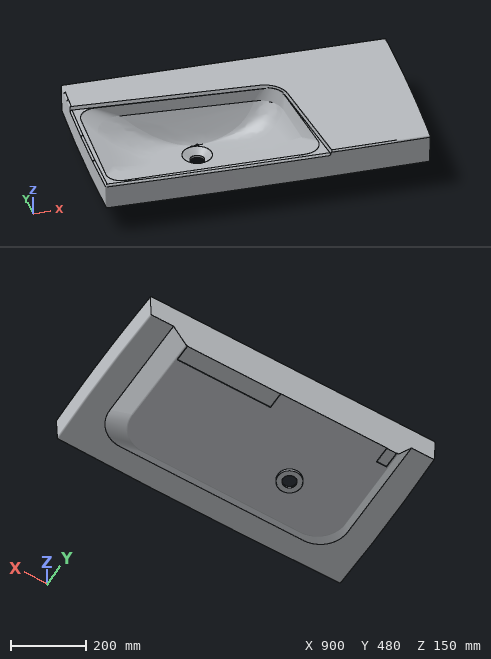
import cadquery as cq
import math

width = 900.0
depth = 480.0
height = 150.0

overrun = 90.0
overrun_radius = 9.0

slab_height = 85.5
side_bow = 4.5
draft_angle = 1.5
edge_radius = 4.5

rim_z = -9.0
rim_edge_radius = 5.0
step_slope = 25.0
step_left_y = -103.5
step_corner = (569.0, -134.0)
step_front_x = 624.5
step_radius = 67.5

basin_rim_z = rim_z + 3.0
basin_rim_corners = [(14.0, -111.0), (14.0, -467.0), (612.0, -467.0), (566.0, -139.0)]
basin_rim_radii = [45.0, 36.0, 45.0, 54.0]
basin_wall_z = -41.0
basin_wall_corners = [(58.5, -116.0), (58.5, -428.0), (587.0, -428.0), (556.0, -144.0)]
basin_wall_radii = [72.0, 81.0, 81.0, 67.5]
basin_floor_z = -99.0
basin_floor_corners = [(148.5, -148.0), (148.5, -360.0), (508.0, -360.0), (495.0, -175.0)]
basin_floor_radii = [63.0, 81.0, 81.0, 63.0]

drain_x = 319.5
drain_y = -226.0
drain_z = -128.0
drain_seat_radius = 40.5
drain_cone_radius = 37.0
drain_hole_radius = 20.0
drain_hole_length = 7.0
drain_seat_depth = 3.0
drain_boss_radius = 36.0
basin_end_half_side = 43.0
basin_end_radius = 36.0

bowl_front_z = -140.0
bowl_back_z = -144.0
bowl_top_sides = (76.0, 826.0, -409.5)
bowl_bottom_sides = (119.0, 783.0, -353.0)
bowl_top_radius = 85.5
bowl_bottom_radius = 88.0
bowl_edge_radius = 4.5

foot_z = -146.0
foot_depth = 51.0
foot_height = 9.0
foot_spans = [(125.0, 156.0), (488.0, 779.0)]


def rounded_polygon(corners, radii, z):
    """Closed wire through the corners, each rounded by a tangent arc."""
    rounded = []
    for i, (x, y) in enumerate(corners):
        corner = cq.Vector(x, y, z)
        before = cq.Vector(*corners[i - 1], z)
        after = cq.Vector(*corners[(i + 1) % len(corners)], z)
        to_before = (before - corner).normalized()
        to_after = (after - corner).normalized()
        half_angle = to_before.getAngle(to_after) / 2
        tangent_length = radii[i] / math.tan(half_angle)
        middle_gap = radii[i] / math.sin(half_angle) - radii[i]
        bisector = (to_before + to_after).normalized()
        start = corner + to_before * tangent_length
        middle = corner + bisector * middle_gap
        end = corner + to_after * tangent_length
        rounded.append((start, middle, end))
    edges = []
    for i, (start, middle, end) in enumerate(rounded):
        edges.append(cq.Edge.makeThreePointArc(start, middle, end))
        edges.append(cq.Edge.makeLine(end, rounded[(i + 1) % len(rounded)][0]))
    return cq.Wire.assembleEdges(edges)


def draft_shortfall(edge_z, radius):
    """How far a drafted side with a rounded top edge at edge_z stays inside its outline at Z = 0."""
    lean = math.radians(draft_angle)
    return (radius - edge_z) * math.tan(lean) - radius * (1 - 1 / math.cos(lean))


def make_slab():
    """Plate with bowed, drafted sides and a flat, vertical back."""
    rim_shortfall = draft_shortfall(rim_z, rim_edge_radius)
    mid_left = -rim_shortfall
    mid_right = width + draft_shortfall(0, edge_radius)
    mid_front = -depth - rim_shortfall
    left = mid_left + side_bow
    right = mid_right - side_bow
    front = mid_front + side_bow
    blank = (
        cq.Workplane("XY")
        .moveTo(left, overrun)
        .lineTo(left, 0)
        .threePointArc((mid_left, -depth / 2), (left, front))
        .threePointArc((width / 2, mid_front), (right, front))
        .threePointArc((mid_right, -depth / 2), (right, 0))
        .lineTo(right, overrun)
        .close()
        .extrude(-slab_height, taper=draft_angle)
    )
    behind_wall = cq.Workplane("XY").box(2 * width, 2 * overrun, 2 * height, centered=(True, False, True))
    behind_wall = behind_wall.translate((width / 2, 0, 0))
    slab = blank.cut(behind_wall)
    back_edges = slab.faces(">Y").edges().vals()
    rounded = [e for e in slab.edges().vals() if not any(e.isSame(b) for b in back_edges)]
    return slab.newObject(rounded).fillet(edge_radius)


def make_bowl():
    """Flared body under the slab with a sloping underside."""
    def outline(sides, radius, z):
        left, right, front = sides
        corners = [(left, overrun), (left, front), (right, front), (right, overrun)]
        return rounded_polygon(corners, [overrun_radius, radius, radius, overrun_radius], z)

    top = outline(bowl_top_sides, bowl_top_radius, -slab_height + edge_radius)
    bottom = outline(bowl_bottom_sides, bowl_bottom_radius, bowl_back_z)
    flare = cq.Workplane(cq.Solid.makeLoft([top, bottom], True))
    side_profile = (
        cq.Workplane("YZ")
        .moveTo(0, 0)
        .lineTo(-depth, 0)
        .lineTo(-depth, bowl_front_z)
        .lineTo(bowl_bottom_sides[2], bowl_front_z)
        .lineTo(0, bowl_back_z)
        .close()
        .extrude(width)
    )
    bowl = flare.intersect(side_profile)
    underside = bowl.faces("<Z").edges("not(>Y)")
    return underside.fillet(bowl_edge_radius)


def make_feet():
    feet = cq.Workplane("XY")
    for start, end in foot_spans:
        foot = cq.Workplane("XY").box(end - start, foot_depth, foot_height, centered=False)
        feet = feet.add(foot.translate((start, -foot_depth, foot_z)))
    return feet.combine()


def make_drain_boss():
    return (
        cq.Workplane("XY", origin=(drain_x, drain_y, -height))
        .circle(drain_boss_radius)
        .extrude(height + drain_z)
    )


def make_step_cut():
    """Lowers the front left area from the deck to the rim."""
    slope_y = (step_corner[1] - step_left_y) / step_corner[0]
    slope_x = (step_front_x - step_corner[0]) / (-depth - step_corner[1])
    corners = [
        (-overrun, step_left_y - slope_y * overrun),
        (-overrun, -depth - overrun),
        (step_front_x - slope_x * overrun, -depth - overrun),
        step_corner,
    ]
    radii = [overrun_radius, overrun_radius, overrun_radius, step_radius]
    return (
        cq.Workplane("XY")
        .add(rounded_polygon(corners, radii, 0))
        .toPending()
        .extrude(rim_z, taper=step_slope)
    )


def make_basin():
    """Hollow with a ruled upper wall and a smooth bowl that narrows to the drain."""
    left = drain_x - basin_end_half_side
    right = drain_x + basin_end_half_side
    front = drain_y - basin_end_half_side
    back = drain_y + basin_end_half_side
    end_corners = [(left, back), (left, front), (right, front), (right, back)]

    rim = rounded_polygon(basin_rim_corners, basin_rim_radii, basin_rim_z)
    wall = rounded_polygon(basin_wall_corners, basin_wall_radii, basin_wall_z)
    floor = rounded_polygon(basin_floor_corners, basin_floor_radii, basin_floor_z)
    end = rounded_polygon(end_corners, [basin_end_radius] * len(end_corners), drain_z)
    upper_wall = cq.Workplane(cq.Solid.makeLoft([rim, wall], True))
    bowl = cq.Workplane(cq.Solid.makeLoft([wall, floor, end]))
    return upper_wall.union(bowl)


def make_drain_cut():
    """Seat, cone and through hole, turned about the drain axis."""
    seat_floor = drain_z - drain_seat_depth
    cut_top = drain_z + 9.0
    cone_end = -height + drain_hole_length
    return (
        cq.Workplane("XZ", origin=(drain_x, drain_y, 0))
        .moveTo(0, cut_top)
        .lineTo(drain_seat_radius, cut_top)
        .lineTo(drain_seat_radius, drain_z)
        .lineTo(drain_cone_radius, seat_floor)
        .lineTo(drain_hole_radius, cone_end)
        .lineTo(drain_hole_radius, -height)
        .lineTo(0, -height)
        .close()
        .revolve(360, (0, 0), (0, 1))
    )


def round_rim_edge(slab):
    """Rounds the outer edge of the lowered rim along the front and the left side."""
    reach = 7.0
    level_margin = 1.0
    low_z = rim_z - level_margin
    high_z = rim_z + level_margin
    front_edges = cq.selectors.BoxSelector(
        (-reach, -depth - reach, low_z), (width, -depth + reach, high_z)
    )
    left_edges = cq.selectors.BoxSelector(
        (-reach, -depth - reach, low_z), (reach, 0, high_z)
    )
    return slab.edges(front_edges + left_edges).fillet(rim_edge_radius)


result = (
    round_rim_edge(make_slab().cut(make_step_cut()))
    .union(make_bowl())
    .union(make_feet())
    .union(make_drain_boss())
    .cut(make_basin())
    .cut(make_drain_cut())
)